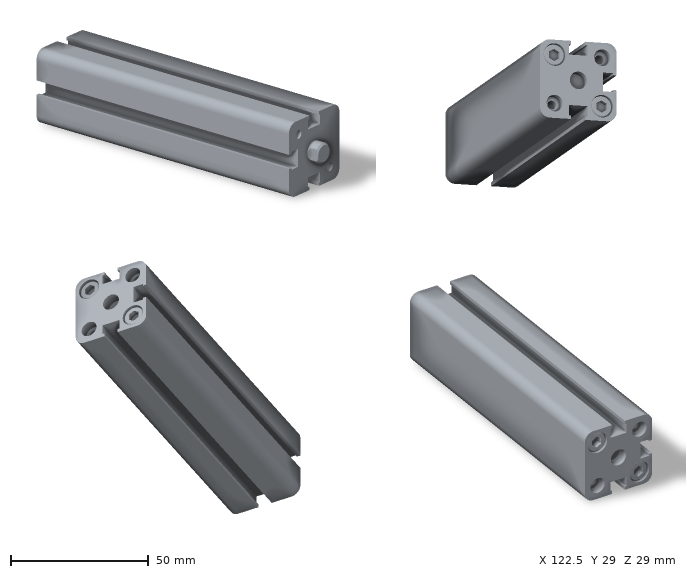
import cadquery as cq

TOTAL_LENGTH = 122.5
HOUSING_LENGTH = 118.0
CAP_LENGTH = 12.2
BARREL_LENGTH = HOUSING_LENGTH - 2 * CAP_LENGTH
SECTION_SIZE = 29.0
CORNER_RADIUS = 3.7

REAR_X = -TOTAL_LENGTH / 2
BARREL_X = REAR_X + CAP_LENGTH
FRONT_CAP_X = BARREL_X + BARREL_LENGTH
HOUSING_END_X = FRONT_CAP_X + CAP_LENGTH
ROD_END_X = REAR_X + TOTAL_LENGTH

SLOT_MOUTH_WIDTH = 5.5
SLOT_CHANNEL_WIDTH = 7.0
SLOT_DEPTH = 5.1
SLOT_LIP = 1.3
SLOT_ANGLES = (0, 90, -90)

FIXING_SPACING = 18.0
FIXING_OFFSET = FIXING_SPACING / 2
HOLE_POSITIONS = [(-FIXING_OFFSET, FIXING_OFFSET), (FIXING_OFFSET, -FIXING_OFFSET)]
SCREW_POSITIONS = [(-FIXING_OFFSET, -FIXING_OFFSET), (FIXING_OFFSET, FIXING_OFFSET)]

THROUGH_HOLE_DIAMETER = 3.3
COUNTERBORE_DIAMETER = 6.1
COUNTERBORE_DEPTH = 3.7
CENTRE_HOLE_DIAMETER = 6.5
CENTRE_HOLE_DEPTH = 4.4

HEAD_RECESS_DIAMETER = 8.3
HEAD_DIAMETER = 7.8
HEAD_CHAMFER = 0.4
HEAD_INSET = 0.6
HEAD_RECESS_DEPTH = 4.9
SOCKET_FLATS = 3.9
SOCKET_DEPTH = 2.5

ROD_DIAMETER = 8.0
ROD_FLATS = 6.5
ROD_SHOULDER = 0.2
ROD_CHAMFER = 0.7

HEXAGON_CORNER_RATIO = 2 / 3**0.5


def plane_at(x):
    """Workplane normal to +X whose local axes are Y and Z."""
    return cq.Workplane("YZ", origin=(x, 0, 0))


def slot_cutter(x, length):
    """T-slot open on the -Y side."""
    outer_y = -SECTION_SIZE / 2
    mouth_y = outer_y + SLOT_DEPTH / 2
    channel_depth = SLOT_DEPTH - SLOT_LIP
    channel_y = outer_y + SLOT_LIP + channel_depth / 2
    mouth = plane_at(x).center(mouth_y, 0).rect(SLOT_DEPTH, SLOT_MOUTH_WIDTH).extrude(length)
    channel = plane_at(x).center(channel_y, 0).rect(channel_depth, SLOT_CHANNEL_WIDTH).extrude(length)
    return mouth.union(channel)


def profile_length(x, length):
    """Stretch of the slotted square profile with its two fixing through holes."""
    body = plane_at(x).rect(SECTION_SIZE, SECTION_SIZE).extrude(length)
    body = body.edges("|X").fillet(CORNER_RADIUS)
    slot = slot_cutter(x, length)
    for angle in SLOT_ANGLES:
        body = body.cut(slot.rotate((0, 0, 0), (1, 0, 0), angle))
    holes = plane_at(x).pushPoints(HOLE_POSITIONS).circle(THROUGH_HOLE_DIAMETER / 2).extrude(length)
    return body.cut(holes)


def screw_head():
    """Socket head on the X axis, filling its recess in depth, with a corner of the hexagon towards +Z."""
    head_length = HEAD_RECESS_DEPTH - HEAD_INSET
    face = plane_at(REAR_X + HEAD_INSET)
    head = face.circle(HEAD_DIAMETER / 2).extrude(head_length).faces("<X").chamfer(HEAD_CHAMFER)
    socket = face.transformed(rotate=(0, 0, 90))
    socket = socket.polygon(6, SOCKET_FLATS * HEXAGON_CORNER_RATIO).extrude(SOCKET_DEPTH)
    return head.cut(socket)


def make_rear_cap():
    """Rear cap with its two screw heads, each standing on the floor of a round recess."""
    face = plane_at(REAR_X)
    counterbores = face.pushPoints(HOLE_POSITIONS).circle(COUNTERBORE_DIAMETER / 2).extrude(COUNTERBORE_DEPTH)
    centre_hole = face.circle(CENTRE_HOLE_DIAMETER / 2).extrude(CENTRE_HOLE_DEPTH)
    recesses = face.pushPoints(SCREW_POSITIONS).circle(HEAD_RECESS_DIAMETER / 2).extrude(HEAD_RECESS_DEPTH)
    cap = profile_length(REAR_X, CAP_LENGTH).cut(counterbores).cut(centre_hole).cut(recesses)
    head = screw_head()
    for y, z in SCREW_POSITIONS:
        cap = cap.union(head.translate((0, y, z)))
    return cap


def make_barrel():
    return profile_length(BARREL_X, BARREL_LENGTH)


def make_front_cap():
    rod_bore = plane_at(FRONT_CAP_X).circle(ROD_DIAMETER / 2).extrude(CAP_LENGTH)
    return profile_length(FRONT_CAP_X, CAP_LENGTH).cut(rod_bore)


def make_piston_rod():
    """Rod through the front cap, with two wrench flats facing -Y and +Y."""
    radius = ROD_DIAMETER / 2
    rod = (
        cq.Workplane("XZ")
        .moveTo(FRONT_CAP_X, 0)
        .lineTo(FRONT_CAP_X, radius)
        .lineTo(ROD_END_X - ROD_CHAMFER, radius)
        .lineTo(ROD_END_X, radius - ROD_CHAMFER)
        .lineTo(ROD_END_X, 0)
        .close()
        .revolve(360, (0, 0), (1, 0))
    )
    flat_y = ROD_FLATS / 2
    slope_x = HOUSING_END_X + ROD_SHOULDER
    flat_x = slope_x + radius - flat_y
    cutter = (
        cq.Workplane("XY")
        .polyline([(slope_x, radius), (flat_x, flat_y), (ROD_END_X, flat_y), (ROD_END_X, radius)])
        .close()
        .extrude(radius, both=True)
    )
    return rod.cut(cutter).cut(cutter.mirror("XZ"))


rear_cap = make_rear_cap()
barrel = make_barrel()
front_cap = make_front_cap()
piston_rod = make_piston_rod()

result = cq.Compound.makeCompound([rear_cap.val(), barrel.val(), front_cap.val(), piston_rod.val()])